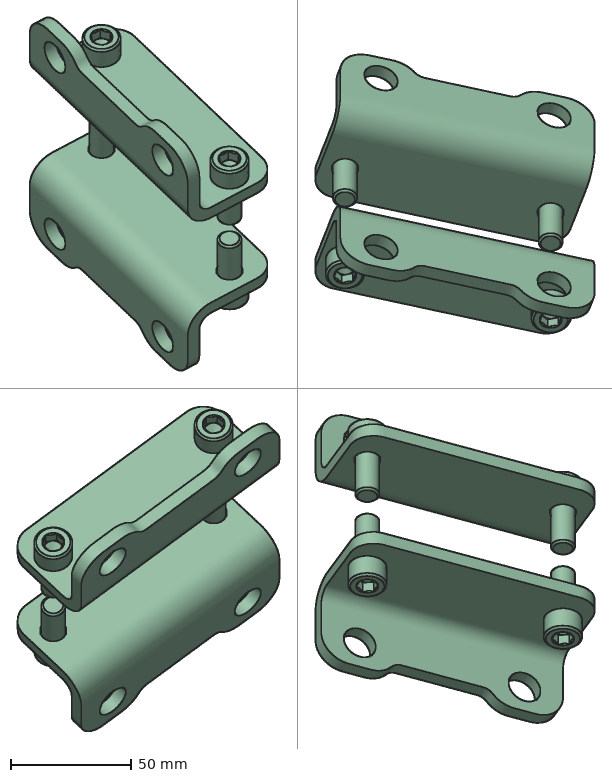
import cadquery as cq
import math

TOTAL_HEIGHT = 129.0
BRACKET_GAP = 50.0
BRACKET_BASE_Z = BRACKET_GAP / 2
BRACKET_TOP_Z = TOTAL_HEIGHT / 2

BRACKET_WIDTH = 110.0
BRACKET_DEPTH = 46.5
PLATE_THICKNESS = 6.0
INNER_BEND_RADIUS = 5.9
OUTER_BEND_RADIUS = INNER_BEND_RADIUS + PLATE_THICKNESS
FLAT_CORNER_RADIUS = 10.5

LOBE_RADIUS = 12.5
NOTCH_WIDTH = 36.8
NOTCH_DEPTH = 6.6
NOTCH_FILLET = 6.0
MOUNT_HOLE_DIAMETER = 14.5
MOUNT_HOLE_SPACING = 75.0
MOUNT_HOLE_Z = BRACKET_TOP_Z - LOBE_RADIUS

SCREW_SPACING = 89.0
SCREW_Y = 29.4
SHANK_DIAMETER = 10.0
SHANK_LENGTH = 25.0
SHANK_CHAMFER = 0.9
CLEARANCE_DIAMETER = 11.0
HEAD_DIAMETER = 16.0
HEAD_HEIGHT = 9.8
HEAD_CHAMFER = 0.9
SOCKET_ACROSS_FLATS = 8.0
SOCKET_SIDES = 6
SOCKET_ACROSS_CORNERS = SOCKET_ACROSS_FLATS / math.cos(math.pi / SOCKET_SIDES)
SOCKET_DEPTH = 5.0
SOCKET_POINT_SLOPE = 30
SOCKET_POINT_DEPTH = SOCKET_ACROSS_FLATS / 2 * math.tan(math.radians(SOCKET_POINT_SLOPE))
HEAD_SEAT_Z = BRACKET_BASE_Z + PLATE_THICKNESS


def angle_profile():
    """L-shaped plate with a rounded bend, extruded along X."""
    bend_z = BRACKET_BASE_Z + OUTER_BEND_RADIUS
    diagonal = math.sqrt(0.5)
    outer_mid = OUTER_BEND_RADIUS * (1 - diagonal)
    inner_mid = OUTER_BEND_RADIUS - INNER_BEND_RADIUS * diagonal
    return (
        cq.Workplane("YZ")
        .moveTo(BRACKET_DEPTH, BRACKET_BASE_Z)
        .lineTo(OUTER_BEND_RADIUS, BRACKET_BASE_Z)
        .threePointArc((outer_mid, BRACKET_BASE_Z + outer_mid), (0, bend_z))
        .lineTo(0, BRACKET_TOP_Z)
        .lineTo(PLATE_THICKNESS, BRACKET_TOP_Z)
        .lineTo(PLATE_THICKNESS, bend_z)
        .threePointArc(
            (inner_mid, BRACKET_BASE_Z + inner_mid),
            (OUTER_BEND_RADIUS, BRACKET_BASE_Z + PLATE_THICKNESS),
        )
        .lineTo(BRACKET_DEPTH, BRACKET_BASE_Z + PLATE_THICKNESS)
        .close()
        .extrude(BRACKET_WIDTH / 2, both=True)
    )


def arc_point(center, radius, angle):
    return (center[0] + radius * math.cos(angle), center[1] + radius * math.sin(angle))


def upright_outline():
    """Front outline of the upright flange, extruded through the full bracket depth."""
    half_width = BRACKET_WIDTH / 2
    notch_floor = BRACKET_TOP_Z - NOTCH_DEPTH
    half_notch = NOTCH_WIDTH / 2

    radius_sum = LOBE_RADIUS + NOTCH_FILLET
    turn = math.acos(1 - NOTCH_DEPTH / radius_sum)
    fillet_center = (half_notch, notch_floor + NOTCH_FILLET)
    lobe_center = (half_notch + radius_sum * math.sin(turn), BRACKET_TOP_Z - LOBE_RADIUS)
    corner_center = (half_width - LOBE_RADIUS, BRACKET_TOP_Z - LOBE_RADIUS)

    right_half = (
        cq.Workplane("XZ")
        .moveTo(0, BRACKET_BASE_Z)
        .lineTo(half_width, BRACKET_BASE_Z)
        .lineTo(half_width, BRACKET_TOP_Z - LOBE_RADIUS)
        .threePointArc(
            arc_point(corner_center, LOBE_RADIUS, math.pi / 4),
            (corner_center[0], BRACKET_TOP_Z),
        )
        .lineTo(lobe_center[0], BRACKET_TOP_Z)
        .threePointArc(
            arc_point(lobe_center, LOBE_RADIUS, math.pi / 2 + turn / 2),
            arc_point(lobe_center, LOBE_RADIUS, math.pi / 2 + turn),
        )
        .threePointArc(
            arc_point(fillet_center, NOTCH_FILLET, -math.pi / 2 + turn / 2),
            (half_notch, notch_floor),
        )
        .lineTo(0, notch_floor)
        .close()
        .extrude(-BRACKET_DEPTH)
    )
    return right_half.union(right_half.mirror("YZ"))


def make_bracket():
    """Upper bracket: bent plate with shaped flanges, mounting holes and screw holes."""
    bracket = angle_profile().intersect(upright_outline())
    bracket = bracket.edges("|Z and >Y").fillet(FLAT_CORNER_RADIUS)
    mount_holes = (
        cq.Workplane("XZ")
        .pushPoints([(side * MOUNT_HOLE_SPACING / 2, MOUNT_HOLE_Z) for side in (-1, 1)])
        .circle(MOUNT_HOLE_DIAMETER / 2)
        .extrude(-PLATE_THICKNESS)
    )
    screw_holes = (
        cq.Workplane("XY", origin=(0, 0, BRACKET_BASE_Z))
        .pushPoints([(side * SCREW_SPACING / 2, SCREW_Y) for side in (-1, 1)])
        .circle(CLEARANCE_DIAMETER / 2)
        .extrude(PLATE_THICKNESS)
    )
    return bracket.cut(mount_holes).cut(screw_holes)


def socket_cutter():
    """Hexagonal socket with a chamfered mouth and a conical bottom."""
    flat_radius = SOCKET_ACROSS_FLATS / 2
    corner_radius = SOCKET_ACROSS_CORNERS / 2
    floor_z = HEAD_HEIGHT - SOCKET_DEPTH
    hexagon = (
        cq.Workplane("XY", origin=(0, 0, floor_z))
        .transformed(rotate=(0, 0, 90))
        .polygon(SOCKET_SIDES, SOCKET_ACROSS_CORNERS)
        .extrude(SOCKET_DEPTH)
    )
    point = cq.Workplane(cq.Solid.makeCone(0, flat_radius, SOCKET_POINT_DEPTH)).translate(
        (0, 0, floor_z - SOCKET_POINT_DEPTH)
    )
    mouth_depth = corner_radius - flat_radius
    mouth = cq.Workplane(cq.Solid.makeCone(flat_radius, corner_radius, mouth_depth)).translate(
        (0, 0, HEAD_HEIGHT - mouth_depth)
    )
    return hexagon.union(point).union(mouth)


def make_screw():
    """Socket head screw pointing down, with the underside of its head at Z = 0."""
    head = (
        cq.Workplane("XY")
        .circle(HEAD_DIAMETER / 2)
        .extrude(HEAD_HEIGHT)
        .faces(">Z")
        .chamfer(HEAD_CHAMFER)
    )
    shank = (
        cq.Workplane("XY")
        .circle(SHANK_DIAMETER / 2)
        .extrude(-SHANK_LENGTH)
        .faces("<Z")
        .chamfer(SHANK_CHAMFER)
    )
    return head.union(shank).cut(socket_cutter())


upper_bracket = make_bracket()
lower_bracket = upper_bracket.mirror("XY")

screws = []
for side in (-1, 1):
    upper_screw = make_screw().translate((side * SCREW_SPACING / 2, SCREW_Y, HEAD_SEAT_Z))
    lower_screw = upper_screw.mirror("XY")
    screws += [upper_screw.val(), lower_screw.val()]

result = cq.Compound.makeCompound([upper_bracket.val(), lower_bracket.val(), *screws])